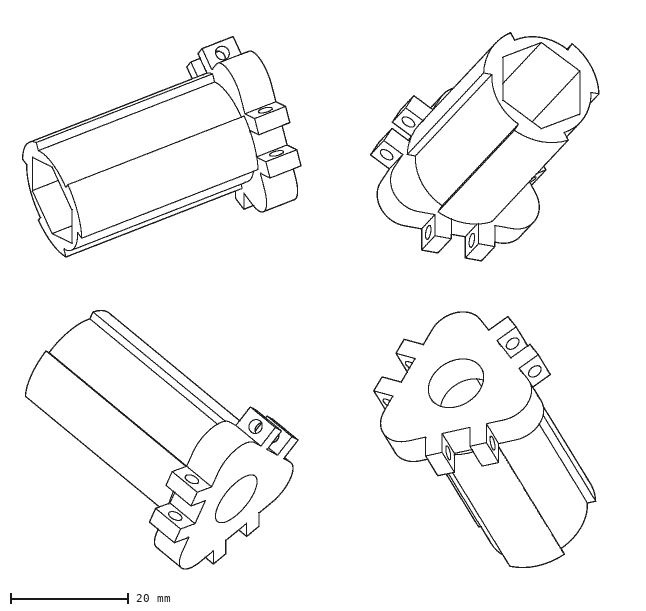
import cadquery as cq
import math

total_length = 40.0
flange_thickness = 6.0
bore_diameter = 10.0

flange_flat_distance = 10.0
lobe_radius = 5.0
lobe_center_distance = 2 * (flange_flat_distance - lobe_radius)

tab_tip_distance = 14.0
tab_inner_offset = 2.5
tab_thickness = 3.0
tab_hole_diameter = 2.4

tube_radius = 10.6
groove_radius = 9.1
groove_widening = 0.4
hex_sides = 6
hex_across_flats = 14.1

flange_start = total_length - flange_thickness
flange_middle = total_length - flange_thickness / 2
tab_hole_distance = (flange_flat_distance + tab_tip_distance) / 2
sector_angle = 60.0
repeat_angles = (0, 120, 240)


def plane_at(y):
    """Sketch plane with local x along X, local y along Z, extruding toward +Y."""
    return cq.Workplane(cq.Plane(origin=(0, y, 0), xDir=(1, 0, 0), normal=(0, -1, 0)))


def turned(shape, angle):
    """Turn a shape about the part's axis by an angle in degrees."""
    return shape.rotate((0, 0, 0), (0, 1, 0), angle)


def make_flange():
    """Triangle through the lobe centers, with one corner on +Z, grown by the lobe radius."""
    side_length = lobe_center_distance * math.sqrt(3)
    lobe_bottom = -lobe_center_distance / 2
    return (
        plane_at(flange_start)
        .moveTo(0, lobe_center_distance)
        .lineTo(side_length / 2, lobe_bottom)
        .lineTo(-side_length / 2, lobe_bottom)
        .close()
        .offset2D(lobe_radius)
        .extrude(-flange_thickness)
    )


def make_tab_pair():
    """Two tabs pointing toward -Z, with one hole drilled across both."""
    tab_height = tab_tip_distance - groove_radius
    tab_center_x = tab_inner_offset + tab_thickness / 2
    tab_center_z = -(tab_tip_distance + groove_radius) / 2
    tabs = (
        plane_at(flange_start)
        .pushPoints([(-tab_center_x, tab_center_z), (tab_center_x, tab_center_z)])
        .rect(tab_thickness, tab_height)
        .extrude(-flange_thickness)
    )
    pair_half_width = tab_inner_offset + tab_thickness
    drill = (
        cq.Workplane("YZ")
        .center(flange_middle, -tab_hole_distance)
        .circle(tab_hole_diameter / 2)
        .extrude(pair_half_width, both=True)
    )
    return tabs.cut(drill)


def make_groove_cutter():
    """Ring piece centered on +Z whose two walls flare apart by the sector angle."""
    half_angle = math.radians(sector_angle / 2)
    apex = -groove_widening / math.sin(half_angle)
    wedge_top = 2 * tube_radius
    wedge_half_width = (wedge_top - apex) * math.tan(half_angle)
    wedge = (
        plane_at(0)
        .moveTo(0, apex)
        .lineTo(wedge_half_width, wedge_top)
        .lineTo(-wedge_half_width, wedge_top)
        .close()
        .extrude(-flange_start)
    )
    core = plane_at(0).circle(groove_radius).extrude(-flange_start)
    return wedge.cut(core)


def make_tube():
    """Plain tube body, still solid inside, with the three grooves cut along its length."""
    tube = plane_at(0).circle(tube_radius).extrude(-flange_start)
    groove = make_groove_cutter()
    for angle in repeat_angles:
        tube = tube.cut(turned(groove, angle))
    return tube


def make_hex_socket():
    """Hexagonal prism with corners on the Z axis, as deep as the tube is long."""
    corner_diameter = hex_across_flats / math.cos(math.pi / hex_sides)
    return (
        plane_at(0)
        .transformed(rotate=(0, 0, 90))
        .polygon(hex_sides, corner_diameter)
        .extrude(-flange_start)
    )


body = make_flange().union(make_tube())
tab_pair = make_tab_pair()
for angle in repeat_angles:
    body = body.union(turned(tab_pair, angle))

bore = plane_at(0).circle(bore_diameter / 2).extrude(-total_length)
result = body.cut(make_hex_socket()).cut(bore)